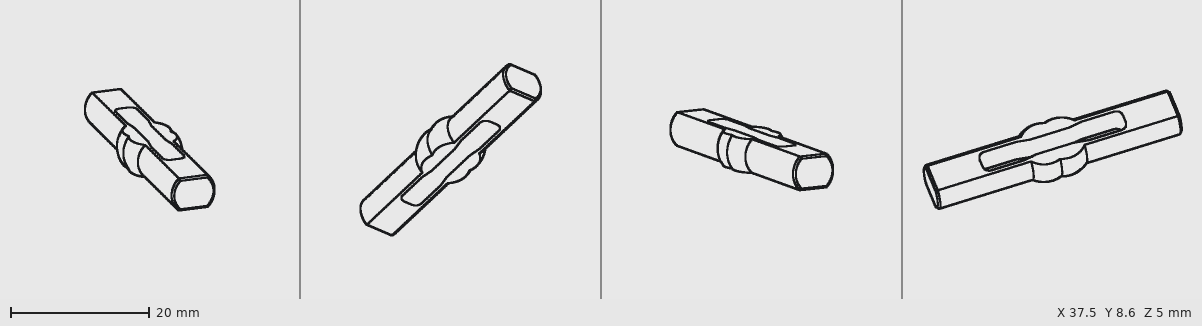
import cadquery as cq

bar_length = 37.5
bar_diameter = 6.65
bar_height = 5.0
end_chamfer = 0.3

ball_diameter = 8.6
ball_offset = 1.4

slot_length = 22.0
slot_width = 3.25
slot_corner_radius = 1.0
waist_width = 2.62
waist_length = 6.0
waist_span = 10.0


def chamfered_bar():
    """Round rod cut to two flats, with both ends chamfered all around."""
    rod = cq.Workplane("YZ").circle(bar_diameter / 2).extrude(bar_length / 2, both=True)
    flats = cq.Workplane("XY").box(bar_length, bar_diameter, bar_height)
    return rod.intersect(flats).faces("<X or >X").chamfer(end_chamfer)


def grip():
    """Pair of balls trimmed to the same flats as the bar."""
    left_ball = cq.Workplane("XY").sphere(ball_diameter / 2).translate((-ball_offset, 0, 0))
    right_ball = cq.Workplane("XY").sphere(ball_diameter / 2).translate((ball_offset, 0, 0))
    grip_length = 2 * ball_offset + ball_diameter
    flats = cq.Workplane("XY").box(grip_length, ball_diameter, bar_height)
    return left_ball.union(right_ball).intersect(flats)


def slot():
    """Cutter for the through slot, with rounded corners and a tapered waist."""
    quarter_wall = [
        (slot_length / 2, slot_width / 2),
        (waist_span / 2, slot_width / 2),
        (waist_length / 2, waist_width / 2),
    ]
    upper_wall = quarter_wall + [(-x, y) for x, y in reversed(quarter_wall)]
    lower_wall = [(x, -y) for x, y in reversed(upper_wall)]
    cutter = (
        cq.Workplane("XY")
        .polyline(upper_wall + lower_wall)
        .close()
        .extrude(bar_height / 2, both=True)
    )
    end_corners = cutter.faces("<X or >X").edges("|Z")
    return end_corners.fillet(slot_corner_radius)


result = chamfered_bar().union(grip()).cut(slot())